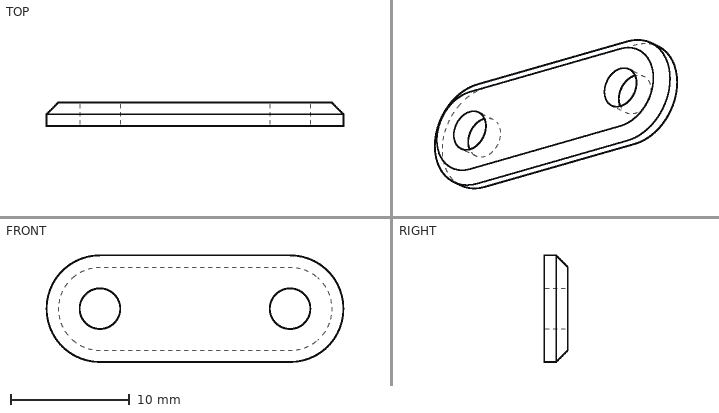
import cadquery as cq

length = 25.0
width = 9.0
thickness = 2.0
hole_diameter = 3.4
chamfer = thickness / 2

hole_spacing = length - width

plate = cq.Workplane("XZ").slot2D(length, width).extrude(-thickness)

plate = plate.faces(">Y").edges().chamfer(chamfer)

holes = (
    cq.Workplane("XZ")
    .rarray(hole_spacing, 0.25, 2, 1)
    .circle(hole_diameter / 2)
    .extrude(-thickness)
)

result = plate.cut(holes)